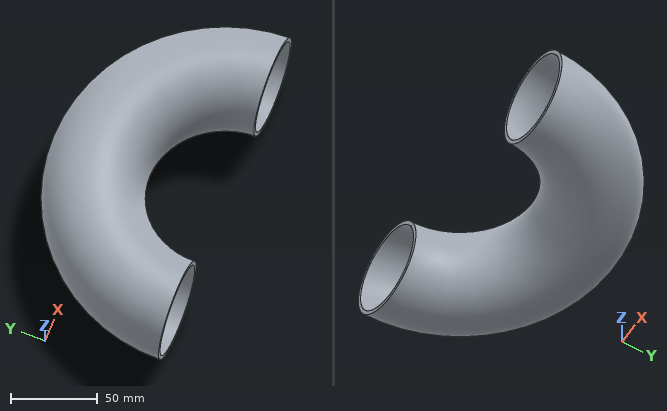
import cadquery as cq

overall_width = 212.3
tube_diameter = 60.3
wall_thickness = 2.5
bend_angle = 180.0

outer_radius = tube_diameter / 2
inner_radius = outer_radius - wall_thickness
bend_radius = (overall_width - tube_diameter) / 2

tube_section = (
    cq.Workplane("XZ")
    .center(bend_radius, 0)
    .circle(outer_radius)
    .circle(inner_radius)
)
result = tube_section.revolve(bend_angle, (-bend_radius, 0), (-bend_radius, 1))